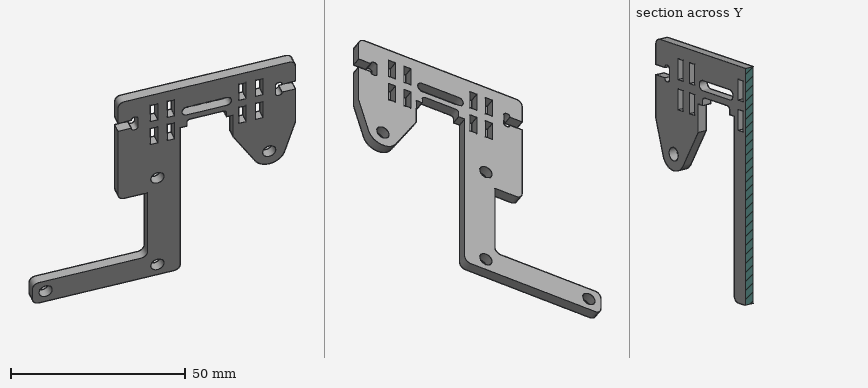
import cadquery as cq
import math

SKETCH_PLANE = cq.Plane(origin=(0, 0, 0), xDir=(0, -1, 0), normal=(-1, 0, 0))

thickness = 3.0
total_width = 80.0
total_height = 71.0
corner_radius = 2.0
hole_diameter = 4.0

plate_width = 54.0
plate_height = 38.0
plate_center = plate_width / 2

opening_width = 16.0
opening_top = -15.5
recess_width = 12.0
recess_top = -13.0
recess_radius = 1.0
opening_left = plate_center - opening_width / 2
opening_right = plate_center + opening_width / 2

lug_radius = 5.0
lug_center = (8.0, lug_radius - plate_height)
taper_start = -24.0

leg_width = 10.0
leg_right = opening_right + leg_width
foot_height = 8.0
foot_top = foot_height - total_height
hole_pitch = 34.0
foot_hole_inset = 4.0

edge_slot_height = 3.0
edge_slot_top = -8.0
slot_line = edge_slot_top - edge_slot_height / 2
edge_slot_depth = 4.1
edge_slot_head_width = 2.0
edge_slot_head_height = 5.0
edge_slot_head_radius = 0.9
long_slot_length = 15.0
strap_slot_width = 2.2
strap_slot_height = 6.2
strap_slot_offsets = (10.9, 16.0)
strap_slot_tops = (-4.0, recess_top)


def tangent_point(point, center, radius, side):
    """Point where a line from `point` touches a circle; `side` (+1 or -1) picks the tangent."""
    du = point[0] - center[0]
    dv = point[1] - center[1]
    angle = math.atan2(dv, du) + side * math.acos(radius / math.hypot(du, dv))
    return (center[0] + radius * math.cos(angle), center[1] + radius * math.sin(angle))


def sketch():
    return cq.Workplane(SKETCH_PLANE)


def block(left, top, width, height):
    """Full-thickness rectangular block placed by its upper +Y corner."""
    center = (left + width / 2, top - height / 2)
    return sketch().center(*center).rect(width, height).extrude(-thickness)


def round_corners(body, corners, radius):
    """Round the through-thickness edges standing at the given (u, v) corners."""
    for u, v in corners:
        selector = cq.selectors.NearestToPointSelector((thickness / 2, -u, v))
        body = body.edges("|X").edges(selector).fillet(radius)
    return body


def make_body():
    lug_outer_start = (0, taper_start)
    lug_inner_start = (opening_left, taper_start)
    lug_tip = (lug_center[0], -plate_height)
    recess_left = plate_center - recess_width / 2
    recess_right = plate_center + recess_width / 2
    body = (
        sketch()
        .moveTo(0, 0)
        .lineTo(*lug_outer_start)
        .lineTo(*tangent_point(lug_outer_start, lug_center, lug_radius, 1))
        .threePointArc(lug_tip, tangent_point(lug_inner_start, lug_center, lug_radius, -1))
        .lineTo(*lug_inner_start)
        .lineTo(opening_left, opening_top)
        .lineTo(recess_left, opening_top)
        .lineTo(recess_left, recess_top)
        .lineTo(recess_right, recess_top)
        .lineTo(recess_right, opening_top)
        .lineTo(opening_right, opening_top)
        .lineTo(opening_right, -total_height)
        .lineTo(total_width, -total_height)
        .lineTo(total_width, foot_top)
        .lineTo(leg_right, foot_top)
        .lineTo(leg_right, -plate_height)
        .lineTo(plate_width, -plate_height)
        .lineTo(plate_width, 0)
        .close()
        .extrude(-thickness)
    )
    outer_corners = [
        (0, 0),
        (plate_width, 0),
        (plate_width, -plate_height),
        (opening_right, -total_height),
        (total_width, -total_height),
        (total_width, foot_top),
    ]
    body = round_corners(body, outer_corners, corner_radius)
    body = round_corners(body, [(recess_left, recess_top), (recess_right, recess_top)], recess_radius)
    return round_corners(body, [(leg_right, foot_top)], corner_radius)


def make_holes():
    leg_hole_u = lug_center[0] + hole_pitch
    foot_hole_v = foot_hole_inset - total_height
    centers = [
        lug_center,
        (leg_hole_u, lug_center[1]),
        (leg_hole_u, foot_hole_v),
        (leg_hole_u + hole_pitch, foot_hole_v),
    ]
    return sketch().pushPoints(centers).circle(hole_diameter / 2).extrude(-thickness)


def make_edge_slot(edge, inward):
    """T-shaped slot entering from a side edge; `inward` is +1 or -1 along u."""
    head_center = edge + inward * (edge_slot_depth + edge_slot_head_width / 2)
    neck = block(min(edge, head_center), edge_slot_top, abs(head_center - edge), edge_slot_height)
    head = block(
        head_center - edge_slot_head_width / 2,
        slot_line + edge_slot_head_height / 2,
        edge_slot_head_width,
        edge_slot_head_height,
    )
    return neck.union(head.edges("|X").fillet(edge_slot_head_radius))


def make_long_slot():
    return (
        sketch()
        .center(plate_center, slot_line)
        .slot2D(long_slot_length, edge_slot_height)
        .extrude(-thickness)
    )


result = make_body()
result = result.cut(make_holes()).cut(make_long_slot())
result = result.cut(make_edge_slot(0, 1)).cut(make_edge_slot(plate_width, -1))
for top in strap_slot_tops:
    for offset in strap_slot_offsets:
        for side in (-1, 1):
            left = plate_center + side * offset - strap_slot_width / 2
            result = result.cut(block(left, top, strap_slot_width, strap_slot_height))